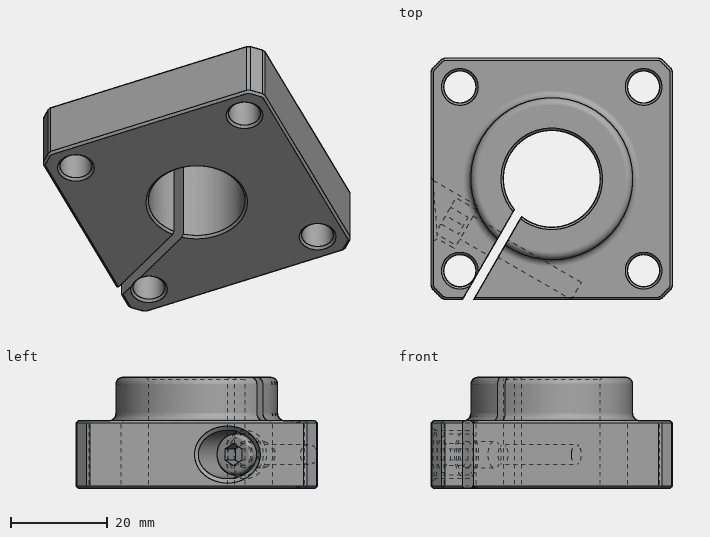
import cadquery as cq
import math

plate_side = 50.0
plate_thickness = 14.0
corner_cut = 2.5
corner_chamfer = 0.4
edge_chamfer = 0.5

total_height = 23.0
boss_diameter = 33.5
boss_round = 1.5
bore_diameter = 20.0
bore_chamfer = 0.5

mount_diameter = 6.6
mount_spacing = 38.0
mount_chamfer = 0.5

slit_angle = 60.0
slit_width = 2.0
slit_offset = 2.5

screw_distance = 17.55
screw_height = plate_thickness / 2
counterbore_diameter = 10.0
mouth_bevel = 0.9
clearance_diameter = 5.5
tap_diameter = 4.13
tap_end = 16.0

head_diameter = 8.5
head_height = 5.0
head_round = 0.75
head_face = -15.2
socket_width = 4.0
socket_depth = 4.2

half_side = plate_side / 2
head_seat = head_face + head_height
slit_middle = -slit_offset

slit_radians = math.radians(slit_angle)
slit_direction = cq.Vector(math.cos(slit_radians), math.sin(slit_radians), 0)
screw_direction = cq.Vector(math.sin(slit_radians), -math.cos(slit_radians), 0)
screw_origin = slit_direction * -screw_distance + cq.Vector(0, 0, screw_height)
screw_plane = cq.Plane(origin=screw_origin, xDir=(0, 0, 1), normal=screw_direction)


def across_screw(position):
    """Workplane square to the screw axis at a position along that axis."""
    return cq.Workplane(screw_plane).workplane(offset=position)


def screw_cylinder(diameter, start, end):
    """Cylinder on the screw axis between two positions."""
    return across_screw(start).circle(diameter / 2).extrude(end - start)


def make_plate():
    """Square plate with cut corners and all outer edges chamfered."""
    plate = cq.Workplane("XY").rect(plate_side, plate_side).extrude(plate_thickness)
    plate = plate.edges("|Z").chamfer(corner_cut)
    plate = plate.edges("|Z").chamfer(corner_chamfer)
    return plate.faces("<Z or >Z").edges().chamfer(edge_chamfer)


def make_boss():
    """Round boss with a rounded top edge and a fillet at its root."""
    radius = boss_diameter / 2
    root_radius = radius + boss_round
    top_radius = radius - boss_round
    diagonal = boss_round * math.sqrt(0.5)
    root_middle = (root_radius - diagonal, plate_thickness + boss_round - diagonal)
    top_middle = (top_radius + diagonal, total_height - boss_round + diagonal)
    profile = (
        cq.Workplane("XZ")
        .lineTo(root_radius, 0)
        .lineTo(root_radius, plate_thickness)
        .threePointArc(root_middle, (radius, plate_thickness + boss_round))
        .lineTo(radius, total_height - boss_round)
        .threePointArc(top_middle, (top_radius, total_height))
        .lineTo(0, total_height)
        .close()
    )
    return profile.revolve(360, (0, 0), (0, 1))


def chamfered_hole(diameter, depth, chamfer):
    """Upright cutter with a chamfer widening it at both ends."""
    radius = diameter / 2
    wide = radius + chamfer
    outline = [
        (0, 0),
        (wide, 0),
        (radius, chamfer),
        (radius, depth - chamfer),
        (wide, depth),
        (0, depth),
    ]
    return cq.Workplane("XZ").polyline(outline).close().revolve(360, (0, 0), (0, 1))


def cut_bore(body):
    return body.cut(chamfered_hole(bore_diameter, total_height, bore_chamfer))


def cut_mounting_holes(body):
    hole = chamfered_hole(mount_diameter, plate_thickness, mount_chamfer)
    half_spacing = mount_spacing / 2
    for x in (-half_spacing, half_spacing):
        for y in (-half_spacing, half_spacing):
            body = body.cut(hole.translate((x, y, 0)))
    return body


def make_mouth():
    """Bevel where the slanted counterbore meets the -X side of the plate.

    A cylinder one bevel wider than the counterbore is sliced one bevel below the
    side face. Each point of the slice is carried straight out to the face and
    radially in to the counterbore wall, which gives the two edge ellipses.
    """
    radius = counterbore_diameter / 2
    wide = radius + mouth_bevel
    outer_tilt = math.pi / 2 - slit_radians
    inner_tilt = math.atan(math.tan(outer_tilt) * wide / radius)

    axis_travel = (mouth_bevel - half_side - screw_origin.x) / screw_direction.x
    inner_centre = screw_origin + screw_direction * axis_travel
    outer_centre = inner_centre - cq.Vector(mouth_bevel, 0, 0)

    turn = inner_tilt - outer_tilt
    outer_edge = cq.Wire.makeEllipse(
        wide / math.cos(outer_tilt),
        wide,
        outer_centre,
        cq.Vector(1, 0, 0),
        cq.Vector(0, 1, 0),
    )
    inner_edge = cq.Wire.makeEllipse(
        radius / math.cos(inner_tilt),
        radius,
        inner_centre,
        cq.Vector(math.cos(turn), math.sin(turn), 0),
        cq.Vector(-math.sin(turn), math.cos(turn), 0),
    )
    return cq.Workplane(cq.Solid.makeLoft([outer_edge, inner_edge], True))


def cut_screw_hole(body):
    """Counterbore, clearance hole up to the slit and tapped hole beyond it."""
    body = body.cut(screw_cylinder(counterbore_diameter, -plate_side, head_seat))
    body = body.cut(make_mouth())
    body = body.cut(screw_cylinder(clearance_diameter, head_seat, slit_middle))
    return body.cut(screw_cylinder(tap_diameter, slit_middle, tap_end))


def cut_slit(body):
    """Slit from the bore out through the plate side."""
    slit = (
        cq.Workplane("XY")
        .center(-half_side, slit_offset)
        .rect(plate_side, slit_width)
        .extrude(total_height)
        .rotate((0, 0, 0), (0, 0, 1), slit_angle)
    )
    return body.cut(slit)


def make_screw_head():
    """Rounded screw head with a hexagon socket, resting on the counterbore floor."""
    head = screw_cylinder(head_diameter, head_face, head_seat)
    outer_end = cq.selectors.DirectionMinMaxSelector(screw_direction, False)
    head = head.faces(outer_end).edges().fillet(head_round)
    socket_corners = socket_width / math.cos(math.pi / 6)
    socket = across_screw(head_face).polygon(6, socket_corners).extrude(socket_depth)
    return head.cut(socket)


body = make_plate().union(make_boss())
body = cut_bore(body)
body = cut_mounting_holes(body)
body = cut_screw_hole(body)
body = cut_slit(body)
result = body.union(make_screw_head())